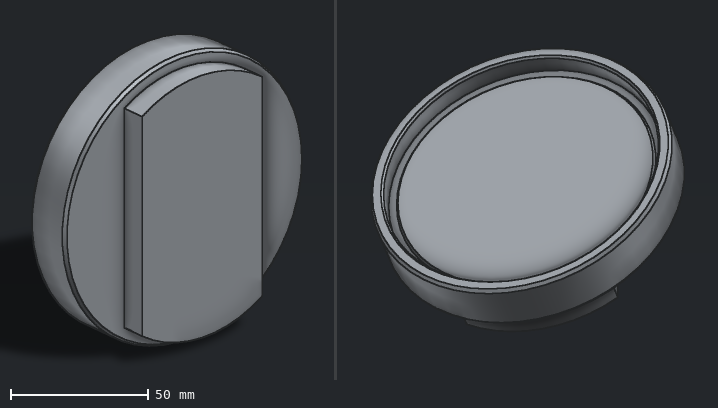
import cadquery as cq

rim_radius = 57.0
rim_length = 20.0
rim_chamfer_length = 1.5
rim_chamfer_depth = 1.0

bore_radius = 52.0
bore_depth = 8.0
bore_chamfer_length = 0.9
bore_chamfer_depth = 0.8

disc_radius = 49.0
disc_height = 1.0
disc_taper = 0.8

tongue_radius = 52.1
tongue_width = 57.2
tongue_length = 10.0


def cylinder(start, radius, length):
    """Cylinder about the X axis, growing towards +X from start."""
    return cq.Workplane("YZ", origin=(start, 0, 0)).circle(radius).extrude(length)


def revolve_about_x(profile):
    """Solid of revolution from (x, radius) points closed along the X axis."""
    return cq.Workplane("XY").polyline(profile).close().revolve(360, (0, 0, 0), (1, 0, 0))


rim = revolve_about_x([
    (0, 0),
    (0, rim_radius - rim_chamfer_depth),
    (rim_chamfer_length, rim_radius),
    (rim_length - rim_chamfer_length, rim_radius),
    (rim_length, rim_radius - rim_chamfer_depth),
    (rim_length, 0),
])

recess = revolve_about_x([
    (0, 0),
    (0, bore_radius + bore_chamfer_depth),
    (bore_chamfer_length, bore_radius),
    (bore_depth, bore_radius),
    (bore_depth, 0),
])

disc_front = bore_depth - disc_height
disc = revolve_about_x([
    (disc_front, 0),
    (disc_front, disc_radius - disc_taper),
    (bore_depth, disc_radius),
    (bore_depth, 0),
])

tongue = cylinder(rim_length, tongue_radius, tongue_length)
flats = cq.Workplane("XY").box(
    2 * (rim_length + tongue_length), tongue_width, 2 * tongue_radius
)
tongue = tongue.intersect(flats)

result = rim.cut(recess).union(disc).union(tongue)